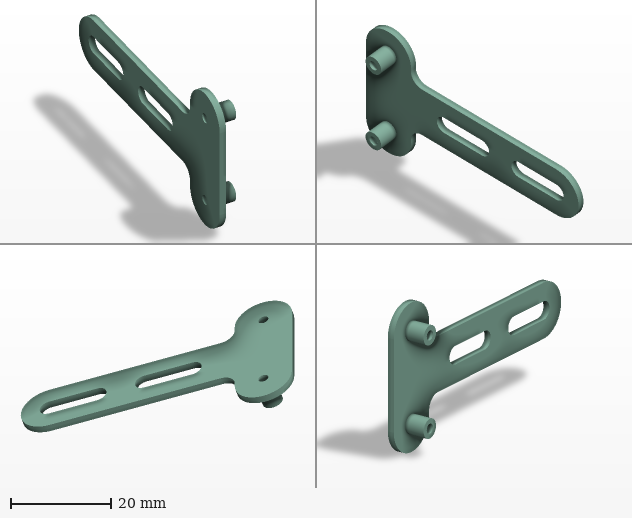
import cadquery as cq

length = 57.0
arm_width = 12.0
head_height = 32.0
thickness = 1.5
end_radius = arm_width / 2
fillet_radius = 3.0
selection_margin = 0.55

slot_length = 14.0
slot_width = 4.0
slot_start = 4.0
slot_pitch = 20.0

pin_diameter = 4.2
bore_diameter = 2.1
pin_length = 6.0

head_x = length - end_radius
head_offset = head_height / 2 - end_radius
pin_places = [(head_x, -head_offset), (head_x, head_offset)]


def back_from_front_face(outline, depth):
    """Extrude an XZ outline from the front face toward +Y."""
    return outline.extrude(-depth)


def make_blank():
    """T-shaped plate with round ends and filleted inner corners."""
    head_left = length - 2 * end_radius
    outline = (
        cq.Workplane("XZ")
        .moveTo(end_radius, end_radius)
        .lineTo(head_left, end_radius)
        .lineTo(head_left, head_offset)
        .threePointArc((head_x, head_height / 2), (length, head_offset))
        .lineTo(length, -head_offset)
        .threePointArc((head_x, -head_height / 2), (head_left, -head_offset))
        .lineTo(head_left, -end_radius)
        .lineTo(end_radius, -end_radius)
        .threePointArc((0, 0), (end_radius, end_radius))
        .close()
    )
    inner_corners = cq.selectors.BoxSelector(
        (head_left - selection_margin, -selection_margin, -end_radius - selection_margin),
        (head_left + selection_margin, thickness + selection_margin, end_radius + selection_margin),
    )
    blank = back_from_front_face(outline, thickness)
    return blank.edges("|Y").edges(inner_corners).fillet(fillet_radius)


def make_slots():
    first_center = slot_start + slot_length / 2
    centers = [(first_center, 0), (first_center + slot_pitch, 0)]
    outline = cq.Workplane("XZ").pushPoints(centers).slot2D(slot_length, slot_width)
    return back_from_front_face(outline, thickness)


def make_plate():
    pin_holes = cq.Workplane("XZ").pushPoints(pin_places).circle(pin_diameter / 2)
    return make_blank().cut(make_slots()).cut(back_from_front_face(pin_holes, thickness))


def make_pin(x, z):
    """Hollow pin seated in its plate hole."""
    ring = cq.Workplane("XZ").center(x, z).circle(pin_diameter / 2).circle(bore_diameter / 2)
    return back_from_front_face(ring, pin_length)


plate = make_plate()
pins = [make_pin(x, z) for x, z in pin_places]

result = cq.Compound.makeCompound([plate.val(), *[pin.val() for pin in pins]])